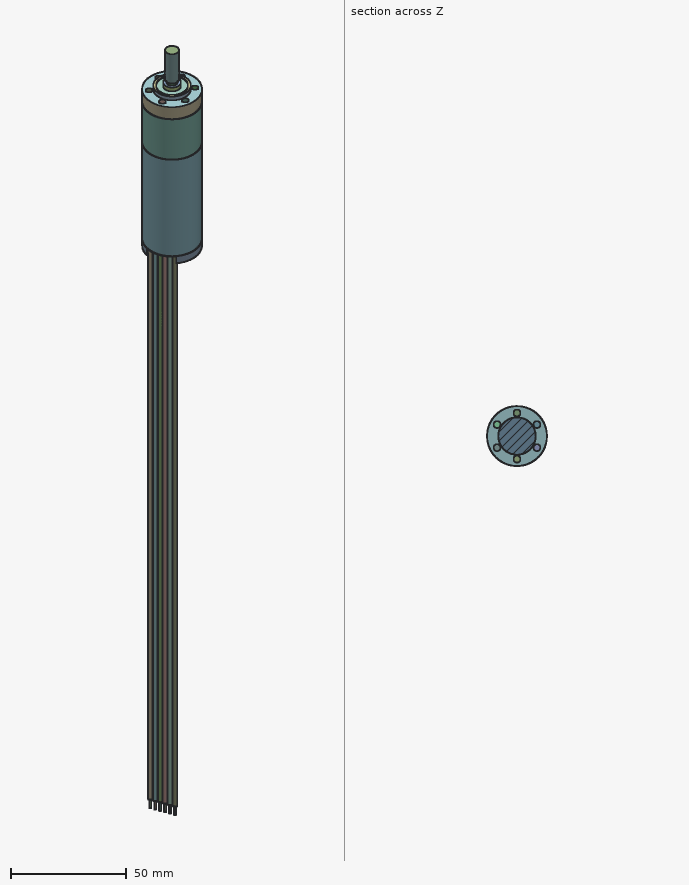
import cadquery as cq

TOTAL_LENGTH = 405.5
BODY_DIAMETER = 26.0
BODY_LENGTH = 84.7

SHAFT_TOP = 21.0
SHAFT_DIAMETER = 6.0
NECK_DIAMETER = 5.0
NECK_LENGTH = 1.5

BOSS_DIAMETER = 16.2
BOSS_HEIGHT = 2.0
BOSS_RECESS_DIAMETER = 13.8
BOSS_RECESS_DEPTH = 0.5
COLLAR_DIAMETER = 7.5
COLLAR_HEIGHT = 3.5

GROOVE_TOPS = (6.5, 28.5, 80.5)
GROOVE_WIDTH = 0.2
GROOVE_DEPTH = 0.1

REAR_BOSS_DIAMETER = 13.8
REAR_BOSS_HEIGHT = 1.0

HOLE_COUNT = 6
HOLE_DIAMETER = 3.0
HOLE_CIRCLE_DIAMETER = 20.0
HOLE_DEPTH = 4.0
FIRST_HOLE_ANGLE = 90

WIRE_COUNT = 6
WIRE_DIAMETER = 2.0
WIRE_PITCH = 2.35
WIRE_Y = -9.7
CORE_DIAMETER = 1.0
CORE_BARE_LENGTH = 5.0
JOINT_OVERLAP = 2.0

NOTCH_HEIGHT = 3.5
NOTCH_WIDTH = WIRE_COUNT * WIRE_PITCH
NOTCH_BACK_Y = WIRE_Y + WIRE_DIAMETER / 2

BODY_BOTTOM = -BODY_LENGTH
WIRE_TIP = SHAFT_TOP - TOTAL_LENGTH


def cylinder(diameter, bottom, top, x=0, y=0):
    """Upright cylinder between two heights."""
    base = cq.Workplane("XY", origin=(x, y, bottom))
    return base.circle(diameter / 2).extrude(top - bottom)


def make_groove(top):
    """Ring that cuts a shallow groove around the body."""
    bottom = top - GROOVE_WIDTH
    floor = cylinder(BODY_DIAMETER - 2 * GROOVE_DEPTH, bottom, top)
    return cylinder(BODY_DIAMETER, bottom, top).cut(floor)


def make_mounting_holes():
    return (
        cq.Workplane("XY")
        .polarArray(HOLE_CIRCLE_DIAMETER / 2, FIRST_HOLE_ANGLE, 360, HOLE_COUNT)
        .circle(HOLE_DIAMETER / 2)
        .extrude(-HOLE_DEPTH)
    )


def make_wire_notch():
    """Box that runs from behind the wires out past the -Y side of the body."""
    notch_length = BODY_DIAMETER / 2
    center_y = NOTCH_BACK_Y - notch_length / 2
    base = cq.Workplane("XY", origin=(0, center_y, BODY_BOTTOM))
    return base.rect(NOTCH_WIDTH, notch_length).extrude(NOTCH_HEIGHT)


def make_body():
    body = cylinder(BODY_DIAMETER, BODY_BOTTOM, 0)
    for depth in GROOVE_TOPS:
        body = body.cut(make_groove(-depth))
    body = body.cut(make_mounting_holes()).cut(make_wire_notch())
    return body.union(cylinder(REAR_BOSS_DIAMETER, BODY_BOTTOM - REAR_BOSS_HEIGHT, BODY_BOTTOM))


def make_shaft_end():
    """Bearing boss, collar, neck and output shaft."""
    recess = cylinder(BOSS_RECESS_DIAMETER, BOSS_HEIGHT - BOSS_RECESS_DEPTH, BOSS_HEIGHT)
    boss = cylinder(BOSS_DIAMETER, 0, BOSS_HEIGHT).cut(recess)
    collar = cylinder(COLLAR_DIAMETER, 0, COLLAR_HEIGHT)
    neck_top = COLLAR_HEIGHT + NECK_LENGTH
    neck = cylinder(NECK_DIAMETER, 0, neck_top)
    shaft = cylinder(SHAFT_DIAMETER, neck_top, SHAFT_TOP)
    return boss.union(collar).union(neck).union(shaft)


def make_wire(x):
    """Insulated wire that enters the body above the notch and has a bare lower end."""
    sleeve_bottom = WIRE_TIP + CORE_BARE_LENGTH
    sleeve_top = BODY_BOTTOM + NOTCH_HEIGHT + JOINT_OVERLAP
    sleeve = cylinder(WIRE_DIAMETER, sleeve_bottom, sleeve_top, x, WIRE_Y)
    core = cylinder(CORE_DIAMETER, WIRE_TIP, sleeve_bottom + JOINT_OVERLAP, x, WIRE_Y)
    return sleeve.union(core)


result = make_body().union(make_shaft_end())
first_wire_x = -(WIRE_COUNT - 1) * WIRE_PITCH / 2
for index in range(WIRE_COUNT):
    result = result.union(make_wire(first_wire_x + index * WIRE_PITCH))